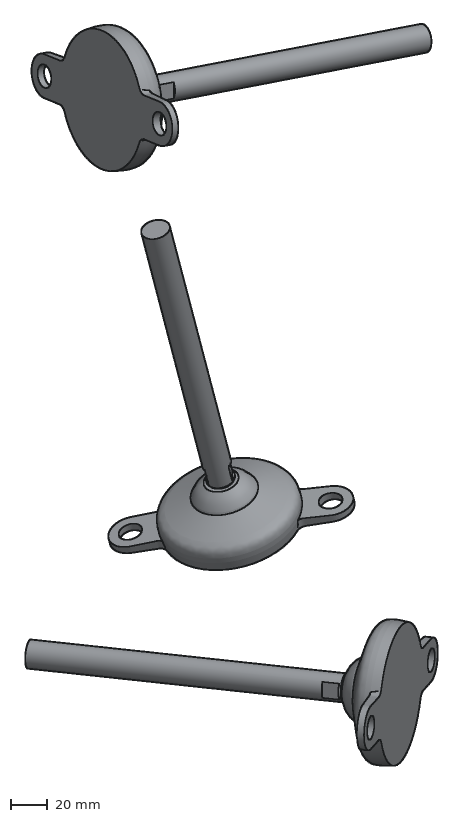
import cadquery as cq
import math


SOLE_RADIUS = 39.3
RIM_RADIUS = 40.0
RIM_BOTTOM = 5.7
RIM_TOP = 8.9
SHOULDER_RADIUS = 34.3
SHOULDER_HEIGHT = 15.9
WAIST_RADIUS = 18.8
WAIST_HEIGHT = 21.8
DOME_START_RADIUS = 18.2
DOME_START_HEIGHT = 23.0
DOME_BULGE = 1.0
SEAT_RADIUS = 9.7
SEAT_HEIGHT = 30.7

OVERALL_LENGTH = 136.0
EAR_RADIUS = 12.5
HOLE_RADIUS = 6.5
HOLE_OFFSET = OVERALL_LENGTH / 2 - EAR_RADIUS
EAR_ROOT_HEIGHT = RIM_BOTTOM
EAR_TIP_HEIGHT = 4.0
EAR_ROOT_FILLET = 5.0
PICK_MARGIN = 0.2

SPINDLE_RADIUS = 8.0
SPINDLE_TOP = 211.5
TIP_RADIUS = 7.2
TIP_TAPER_TOP = 32.0
FLAT_HALF_WIDTH = 6.5
FLAT_BOTTOM = 33.2
FLAT_TOP = 42.7


def revolve_about_y(profile):
    return profile.close().revolve(360, (0, 0, 0), (0, 1, 0))


def bowed_midpoint(start, end, bow):
    """Midpoint of a segment, pushed away from the axis by the given bow."""
    dx = end[0] - start[0]
    dy = end[1] - start[1]
    length = math.hypot(dx, dy)
    return (
        (start[0] + end[0]) / 2 + bow * dy / length,
        (start[1] + end[1]) / 2 - bow * dx / length,
    )


def make_turned_body():
    dome_start = (DOME_START_RADIUS, DOME_START_HEIGHT)
    dome_end = (SEAT_RADIUS, SEAT_HEIGHT)
    cone_slope = (SHOULDER_RADIUS - WAIST_RADIUS, SHOULDER_HEIGHT - WAIST_HEIGHT)
    profile = (
        cq.Workplane("XY")
        .lineTo(SOLE_RADIUS, 0)
        .lineTo(RIM_RADIUS, RIM_BOTTOM)
        .lineTo(RIM_RADIUS, RIM_TOP)
        .spline(
            [(SHOULDER_RADIUS, SHOULDER_HEIGHT)],
            tangents=[(0, 1), (-cone_slope[0], -cone_slope[1])],
            includeCurrent=True,
        )
        .lineTo(WAIST_RADIUS, WAIST_HEIGHT)
        .lineTo(*dome_start)
        .threePointArc(bowed_midpoint(dome_start, dome_end, DOME_BULGE), dome_end)
        .lineTo(0, SEAT_HEIGHT)
    )
    return revolve_about_y(profile)


def make_ear_plate():
    """Disc with two rounded ears, whose top faces slope down to the tips."""
    half_length = OVERALL_LENGTH / 2
    side_profile = (
        cq.Workplane("XY")
        .moveTo(-half_length, 0)
        .lineTo(half_length, 0)
        .lineTo(half_length, EAR_TIP_HEIGHT)
        .lineTo(SOLE_RADIUS, EAR_ROOT_HEIGHT)
        .lineTo(-SOLE_RADIUS, EAR_ROOT_HEIGHT)
        .lineTo(-half_length, EAR_TIP_HEIGHT)
        .close()
        .extrude(RIM_RADIUS, both=True)
    )
    disc = cq.Workplane("XZ").circle(SOLE_RADIUS).extrude(-RIM_BOTTOM)
    bar = cq.Workplane("XZ").slot2D(OVERALL_LENGTH, 2 * EAR_RADIUS).extrude(-RIM_BOTTOM)
    corner_x = math.sqrt(SOLE_RADIUS**2 - EAR_RADIUS**2)
    outline = disc.union(bar)
    corners = outline.edges("|Y").edges(
        cq.selectors.BoxSelector(
            (-corner_x - PICK_MARGIN, -PICK_MARGIN, -EAR_RADIUS - PICK_MARGIN),
            (corner_x + PICK_MARGIN, RIM_BOTTOM + PICK_MARGIN, EAR_RADIUS + PICK_MARGIN),
        )
    )
    return corners.fillet(EAR_ROOT_FILLET).intersect(side_profile)


def make_foot():
    holes = (
        cq.Workplane("XZ")
        .pushPoints([(-HOLE_OFFSET, 0), (HOLE_OFFSET, 0)])
        .circle(HOLE_RADIUS)
        .extrude(-RIM_BOTTOM)
    )
    return make_turned_body().union(make_ear_plate()).cut(holes)


def make_spindle():
    profile = (
        cq.Workplane("XY")
        .moveTo(0, SEAT_HEIGHT)
        .lineTo(TIP_RADIUS, SEAT_HEIGHT)
        .lineTo(SPINDLE_RADIUS, TIP_TAPER_TOP)
        .lineTo(SPINDLE_RADIUS, SPINDLE_TOP)
        .lineTo(0, SPINDLE_TOP)
    )
    spindle = revolve_about_y(profile)
    flat_depth = SPINDLE_RADIUS - FLAT_HALF_WIDTH
    for side in (-1, 1):
        flat_cutter = cq.Workplane("XY").box(
            flat_depth, FLAT_TOP - FLAT_BOTTOM, 2 * SPINDLE_RADIUS
        ).translate((side * (FLAT_HALF_WIDTH + flat_depth / 2), (FLAT_BOTTOM + FLAT_TOP) / 2, 0))
        spindle = spindle.cut(flat_cutter)
    return spindle


foot = make_foot()
spindle = make_spindle()

result = cq.Compound.makeCompound([foot.solids().val(), spindle.val()])